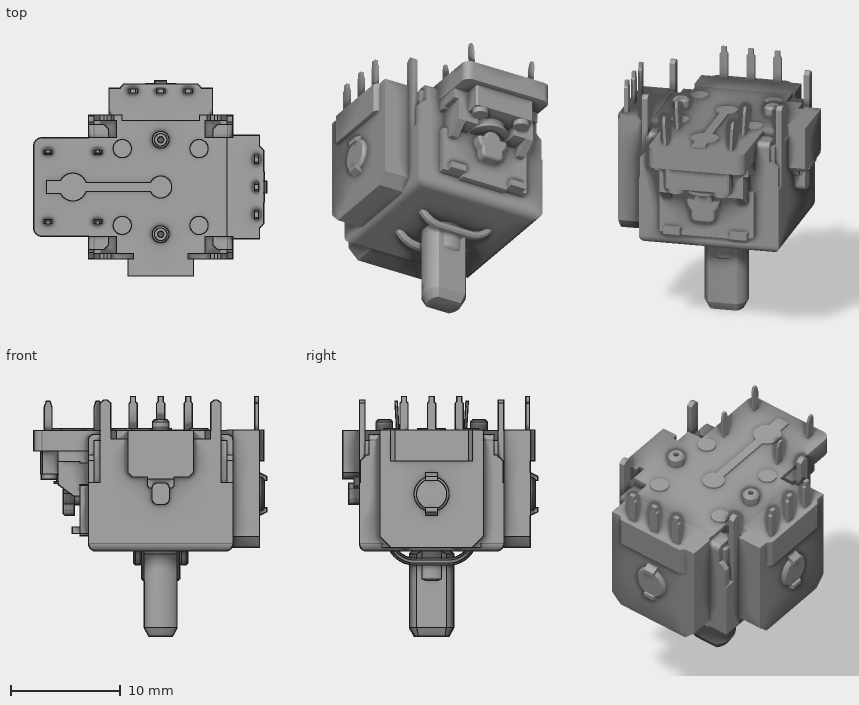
import cadquery as cq
import math


frame_half = 6.58
sheet = 0.52
frame_bottom = -11.0
bottom_edge_radius = 0.7
bend_radius = 0.5
flange_top = -0.37
flange_half_y = 5.68
flange_reach = 1.84
flange_corner = 0.42
side_wall_half_y = 6.5
shoulder_half_y = 5.95
shoulder_top = -2.23
side_wall_corner = -2.75
corner_notch_floor = -4.75
leg_center_x = 5.03
leg_width = 0.96
leg_top = 2.8
leg_tip_run = 0.35
leg_tip_rise = 0.28
between_legs_top = -0.76
core_half = frame_half - sheet
core_top = flange_top - sheet

plate_thickness = 1.88
plate_half_y = 4.5
plate_left = -11.58
plate_corner_radius = 0.79
plate_arm_half_x = 4.05
plate_tab_half_x = 4.24
relief_height = 0.2
pad_spacing = 3.5
pad_radius = 0.83
track_left = -10.4
track_button_x = -8.0
track_button_radius = 1.27
hub_button_radius = 1.0
track_width = 0.79
track_end_width = 1.22
boss_center_y = 4.3
boss_radius = 0.76
boss_height = 0.98
boss_chamfer = 0.2
boss_hole_radius = 0.28

pot_outer = 9.0
pot_half_width = 4.72
pot_neck_half_x = 3.55
pot_top = 0.07
pot_bottom = -10.65
pot_chamfer = 1.0
pot_rib_outer = 9.4
pot_rib_half_width = 3.74
pot_rib_bottom = -2.77
rotor_z = -5.8
rotor_radius = 1.6
rotor_outer = 9.45
rotor_chamfer = 0.22
clip_half_width = 0.55
clip_outer = 9.68
clip_root = 1.95
clip_crest = 1.62
clip_inner = 1.22
pot_pin_center = 8.75
pot_pin_pitch = 2.51
pot_pin_width = 0.76
pot_pin_tip_width = 0.48
pot_pin_thickness = 0.35
pot_pin_step = 2.47
pot_pin_top = 3.1

switch_x = (-10.92, -9.33)
switch_half_y = 3.0
switch_bottom = -3.95
switch_corner_chamfer = 0.15
foot_radius = 0.72
foot_center_x = -10.15
foot_center_y = 2.16
foot_bottom = -4.45
plunger_radius = 1.5
plunger_rim_radius = 1.73
plunger_rim_top = -4.65
plunger_bottom = -4.83
switch_pin_x = (-10.25, -5.72)
switch_pin_base_y = 3.08
switch_pin_lean = 0.15
switch_pin_thickness = 0.25
switch_pin_width = 0.72
switch_pin_tip_width = 0.35
switch_pin_taper_start = 2.12
switch_pin_top = 2.67

bracket_left = switch_x[1]
cover_left = -7.36
bracket_half_y = 3.93
bracket_bottom = -4.94
ledge_half_y = 4.41
ledge_bottom = -2.82
cover_ledge_bottom = -2.97
plunger_gap_half_y = 1.92
cheek_inner_y = 3.2
cheek_foot_x = -7.9
cheek_bottom = -5.99
cover_top = -5.03
cover_bottom = -9.4
cover_lip_bottom = -9.6
cover_lip_half_y = 2.35
cover_tab_left = -8.06
cover_tab_top = -8.78

lever_left = -8.9
lever_right = -7.87
lever_shoulder = -5.72
lever_head_radius = 0.85
lever_wing_half = 1.5
lever_wing_bulge = 0.13
lever_waist = -6.7
lever_foot_half = 1.1
lever_bottom = -7.73
lever_foot_radius = 0.48
lever_edge_radius = 0.26
lever_pin_radius = 0.4
lever_pin_z = -6.38

guide_half_x = 3.0
guide_neck_half_x = 2.47
guide_outer = -8.1
guide_bottom = -4.22
guide_chamfer = 0.4
guide_foot_half_x = 1.22
guide_foot_bottom = -4.41
guide_tongue_outer = -7.08
guide_tongue_bottom = -5.22
guide_tongue_chamfer = 0.17
pivot_outer = -7.55
pivot_half_width = 0.79
pivot_top = -4.76
pivot_bottom = -6.73
pivot_corner_radius = 0.5

shaft_radius = 2.03
shaft_half_flat = 1.5
shaft_top = -11.25
shaft_bottom = -18.75
tip_chamfer_width = 0.44
tip_chamfer_height = 0.79
collar_radius = 1.75
collar_bottom = -13.68
collar_chamfer = 0.17
rocker_x = (1.73, 2.47)
rocker_flat_half = 1.53
rocker_bottom = -12.25
rocker_outer_radius = 2.65
rocker_thickness = 0.63
rocker_chamfer = 0.17

SIDES = (-1, 1)


def box(x_range, y_range, z_range):
    """Box spanning three (start, end) ranges."""
    size = [abs(end - start) for start, end in (x_range, y_range, z_range)]
    corner = [min(span) for span in (x_range, y_range, z_range)]
    return cq.Workplane("XY").box(*size, centered=False).translate(tuple(corner))


def cylinder(x, y, radius, bottom, top):
    """Vertical cylinder between two heights."""
    return cq.Workplane("XY", origin=(x, y, bottom)).circle(radius).extrude(top - bottom)


def extrude_along_x(points, start, end):
    """Prism of a closed (y, z) outline between two X positions."""
    return cq.Workplane("YZ", origin=(start, 0, 0)).polyline(points).close().extrude(end - start)


def extrude_along_y(points, start, end):
    """Prism of a closed (x, z) outline between two Y positions."""
    return cq.Workplane("XZ", origin=(0, start, 0)).polyline(points).close().extrude(start - end)


def mirrored(points):
    """Close a right-hand half outline with its mirror image."""
    return points + [(-a, b) for a, b in reversed(points)]


def make_frame():
    """Folded sheet cup with four legs, and the core that fills it."""
    body = box((-frame_half, frame_half), (-frame_half, frame_half), (frame_bottom, corner_notch_floor))
    body = body.faces("<Z").edges().fillet(bottom_edge_radius)
    body = body.union(box((-core_half, core_half), (-core_half, core_half), (corner_notch_floor, core_top)))

    leg_outer = leg_center_x + leg_width / 2
    leg_inner = leg_center_x - leg_width / 2
    leg_wall = mirrored([
        (leg_outer, corner_notch_floor),
        (leg_outer, leg_top - leg_tip_rise),
        (leg_outer - leg_tip_run, leg_top),
        (leg_inner + leg_tip_run, leg_top),
        (leg_inner, leg_top - leg_tip_rise),
        (leg_inner, between_legs_top),
    ])
    flange_wall = mirrored([
        (side_wall_half_y, corner_notch_floor),
        (side_wall_half_y, side_wall_corner),
        (shoulder_half_y, shoulder_top),
        (flange_half_y, shoulder_top),
        (flange_half_y, flange_top - bend_radius),
    ])
    flange_inner = frame_half - flange_reach
    for side in SIDES:
        inner, outer = side * core_half, side * frame_half
        body = body.union(extrude_along_y(leg_wall, inner, outer))
        body = body.union(extrude_along_x(flange_wall, inner, outer))
        flange = box((side * flange_inner, outer), (-flange_half_y, flange_half_y), (core_top, flange_top))
        inner_face = "<X" if side > 0 else ">X"
        outer_face = ">X" if side > 0 else "<X"
        flange = flange.faces(inner_face).edges("|Z").chamfer(flange_corner)
        flange = flange.faces(outer_face).edges(">Z").fillet(bend_radius)
        body = body.union(flange)
    return body


def make_plate():
    """Carrier plate with its raised track, pads and two hollow bosses."""
    overhang = box((plate_left, core_half), (-plate_half_y, plate_half_y), (-plate_thickness, 0))
    overhang = overhang.faces("<X").edges("|Z").fillet(plate_corner_radius)
    arm_x = (-plate_arm_half_x, plate_arm_half_x)
    plate = overhang.union(box(arm_x, (-core_half, core_half), (-plate_thickness, 0)))
    tab_x = (-plate_tab_half_x, plate_tab_half_x)
    plate = plate.union(box(tab_x, (core_half, frame_half), (-plate_thickness, 0)))

    half_track = track_width / 2
    half_end = track_end_width / 2
    plate = plate.union(cylinder(track_button_x, 0, track_button_radius, 0, relief_height))
    plate = plate.union(cylinder(0, 0, hub_button_radius, 0, relief_height))
    plate = plate.union(box((track_button_x, 0), (-half_track, half_track), (0, relief_height)))
    plate = plate.union(box((track_left, track_button_x), (-half_end, half_end), (0, relief_height)))
    for side_x in SIDES:
        for side_y in SIDES:
            pad = cylinder(side_x * pad_spacing, side_y * pad_spacing, pad_radius, 0, relief_height)
            plate = plate.union(pad)
    for side in SIDES:
        boss = cylinder(0, side * boss_center_y, boss_radius, 0, boss_height)
        boss = boss.faces(">Z").chamfer(boss_chamfer)
        hole = cylinder(0, side * boss_center_y, boss_hole_radius, 0, boss_height)
        plate = plate.union(boss.cut(hole))
    return plate


def make_pot(neck_half_width):
    """Potentiometer housing on +X with rib, snap-in rotor and three pins."""
    housing = box((frame_half, pot_outer), (-pot_half_width, pot_half_width), (pot_bottom, pot_top))
    housing = housing.faces("<Z").edges("|X").chamfer(pot_chamfer)
    neck = box((core_half, frame_half), (-neck_half_width, neck_half_width), (pot_bottom, pot_top))
    rib = box((frame_half, pot_rib_outer), (-pot_rib_half_width, pot_rib_half_width), (pot_rib_bottom, pot_top))
    rib = rib.faces(">X").edges("|Z").chamfer(pot_rib_outer - pot_outer)
    rotor = cq.Workplane("YZ", origin=(pot_outer, 0, rotor_z)).circle(rotor_radius)
    rotor = rotor.extrude(rotor_outer - pot_outer).faces(">X").chamfer(rotor_chamfer)
    pot = housing.union(neck).union(rib).union(rotor)

    for side in SIDES:
        clip = [
            (pot_outer, rotor_z + side * clip_root),
            (clip_outer, rotor_z + side * clip_crest),
            (clip_outer, rotor_z + side * clip_inner),
            (pot_outer, rotor_z + side * clip_inner),
        ]
        pot = pot.union(extrude_along_y(clip, -clip_half_width, clip_half_width))

    half_width = pot_pin_width / 2
    half_tip = pot_pin_tip_width / 2
    pin_outline = mirrored([
        (half_width, 0),
        (half_width, pot_pin_step),
        (half_tip, pot_pin_step + half_width - half_tip),
        (half_tip, pot_pin_top),
    ])
    half_thickness = pot_pin_thickness / 2
    pin = extrude_along_x(pin_outline, pot_pin_center - half_thickness, pot_pin_center + half_thickness)
    for index in (-1, 0, 1):
        pot = pot.union(pin.translate((0, index * pot_pin_pitch, 0)))
    return pot


def make_switch():
    """Push switch below the overhang and its four leaning pins."""
    switch = box(switch_x, (-switch_half_y, switch_half_y), (switch_bottom, -plate_thickness))
    switch = switch.faces("<X").edges("|Z").chamfer(switch_corner_chamfer)
    for side in SIDES:
        foot = cylinder(foot_center_x, side * foot_center_y, foot_radius, foot_bottom, switch_bottom)
        switch = switch.union(foot)
    switch = switch.union(cylinder(track_button_x, 0, plunger_radius, plunger_bottom, -plate_thickness))
    switch = switch.union(cylinder(track_button_x, 0, plunger_rim_radius, plunger_bottom, plunger_rim_top))

    half_width = switch_pin_width / 2
    half_tip = switch_pin_tip_width / 2
    blade_outline = mirrored([
        (half_width, 0),
        (half_width, switch_pin_taper_start),
        (half_tip, switch_pin_top),
    ])
    half_thickness = switch_pin_thickness / 2
    blade = extrude_along_y(blade_outline, 0, switch_pin_base_y + switch_pin_top)
    for side in SIDES:
        base_y = side * switch_pin_base_y
        tip_y = base_y + side * switch_pin_lean
        lean = extrude_along_x([
            (base_y - half_thickness, 0),
            (base_y + half_thickness, 0),
            (tip_y + half_thickness, switch_pin_top),
            (tip_y - half_thickness, switch_pin_top),
        ], -half_width, half_width)
        side_blade = blade if side > 0 else blade.mirror("XZ")
        pin = side_blade.intersect(lean)
        for x in switch_pin_x:
            switch = switch.union(pin.translate((x, 0, 0)))
    return switch


def make_bracket():
    """Bracket that carries the switch, and the cover below it."""
    wall_x = -core_half
    bracket = box((bracket_left, wall_x), (-bracket_half_y, bracket_half_y), (bracket_bottom, -plate_thickness))
    gap_y = (-plunger_gap_half_y, plunger_gap_half_y)
    bracket = bracket.cut(box((bracket_left, cover_left), gap_y, (bracket_bottom, switch_bottom)))
    ledge_y = (-ledge_half_y, ledge_half_y)
    bracket = bracket.union(box((bracket_left, cover_left), ledge_y, (ledge_bottom, -plate_thickness)))
    bracket = bracket.union(box((cover_left, wall_x), ledge_y, (cover_ledge_bottom, -plate_thickness)))

    bracket = bracket.union(box((cover_left, wall_x), ledge_y, (cover_bottom, cover_top)))
    lip_y = (-cover_lip_half_y, cover_lip_half_y)
    bracket = bracket.union(box((cover_left, wall_x), lip_y, (cover_lip_bottom, bracket_bottom)))
    cheek = [
        (bracket_left, bracket_bottom),
        (cheek_foot_x, cheek_bottom),
        (cover_left, cheek_bottom),
        (cover_left, bracket_bottom),
    ]
    for side in SIDES:
        bracket = bracket.union(extrude_along_y(cheek, side * cheek_inner_y, side * bracket_half_y))
        tab_y = (side * cover_lip_half_y, side * bracket_half_y)
        bracket = bracket.union(box((cover_tab_left, cover_left), tab_y, (cover_bottom, cover_tab_top)))
    return bracket


def make_lever():
    """Push lever in front of the cover, held by a short round pin."""
    thickness = lever_right - lever_left
    wing_mid_y = lever_wing_bulge + (lever_wing_half + lever_foot_half) / 2
    wing_mid_z = (lever_shoulder + lever_waist) / 2
    body = (
        cq.Workplane("YZ", origin=(lever_left, 0, 0))
        .moveTo(-lever_wing_half, lever_shoulder)
        .lineTo(lever_wing_half, lever_shoulder)
        .threePointArc((wing_mid_y, wing_mid_z), (lever_foot_half, lever_waist))
        .lineTo(lever_foot_half, lever_bottom)
        .lineTo(-lever_foot_half, lever_bottom)
        .lineTo(-lever_foot_half, lever_waist)
        .threePointArc((-wing_mid_y, wing_mid_z), (-lever_wing_half, lever_shoulder))
        .close()
        .extrude(thickness)
    )
    body = body.faces("<Z").edges("|X").fillet(lever_foot_radius)
    body = body.faces("<X").edges("not >Z").fillet(lever_edge_radius)
    head = cq.Workplane("YZ", origin=(lever_left, 0, lever_shoulder)).circle(lever_head_radius)
    head = head.extrude(thickness).faces("<X").edges().fillet(lever_edge_radius)
    lever = body.union(head)
    pin = cq.Workplane("YZ", origin=(lever_right, 0, lever_pin_z)).circle(lever_pin_radius)
    return lever.union(pin.extrude(cover_left - lever_right))


def make_guide():
    """Guide block on the -Y wall with its tongue and the pivot pin below."""
    guide = box((-guide_half_x, guide_half_x), (guide_outer, -frame_half), (guide_bottom, 0))
    guide = guide.faces("<Z").edges("|Y").chamfer(guide_chamfer)
    neck_x = (-guide_neck_half_x, guide_neck_half_x)
    guide = guide.union(box(neck_x, (-frame_half, -core_half), (between_legs_top, 0)))
    foot_x = (-guide_foot_half_x, guide_foot_half_x)
    guide = guide.union(box(foot_x, (guide_outer, -frame_half), (guide_foot_bottom, guide_bottom)))
    tongue = box(foot_x, (guide_tongue_outer, -frame_half), (guide_tongue_bottom, guide_bottom))
    guide = guide.union(tongue.faces("<Z").edges("|Y").chamfer(guide_tongue_chamfer))

    pivot = box((-pivot_half_width, pivot_half_width), (pivot_outer, -frame_half), (pivot_bottom, pivot_top))
    pivot = pivot.edges("|Y").fillet(pivot_corner_radius)
    return guide.union(pivot)


def make_bow():
    """Rocker bow on +X: a flat-bottomed band curving up into the frame at both ends."""
    arc_center_z = rocker_bottom + rocker_outer_radius

    def half_stadium(radius):
        half_span = rocker_flat_half + radius
        low = arc_center_z - radius
        corner = radius * math.sqrt(0.5)
        return (
            cq.Workplane("YZ", origin=(rocker_x[0], 0, 0))
            .moveTo(-half_span, arc_center_z)
            .threePointArc((-rocker_flat_half - corner, arc_center_z - corner), (-rocker_flat_half, low))
            .lineTo(rocker_flat_half, low)
            .threePointArc((rocker_flat_half + corner, arc_center_z - corner), (half_span, arc_center_z))
            .close()
            .extrude(rocker_x[1] - rocker_x[0])
        )

    band = half_stadium(rocker_outer_radius).cut(half_stadium(rocker_outer_radius - rocker_thickness))
    return band.faces("<X or >X").chamfer(rocker_chamfer)


def make_shaft():
    """Double-flatted shaft with a tapered tip, a slimmer round collar and two rocker bows."""
    shaft = cylinder(0, 0, shaft_radius, shaft_bottom, frame_bottom)
    shaft = shaft.faces(">Z").chamfer(frame_bottom - shaft_top)
    shaft = shaft.faces("<Z").chamfer(tip_chamfer_height, tip_chamfer_width)
    flats_outline = mirrored([
        (shaft_half_flat - tip_chamfer_width, shaft_bottom),
        (shaft_half_flat, shaft_bottom + tip_chamfer_height),
        (shaft_half_flat, frame_bottom),
    ])
    shaft = shaft.intersect(extrude_along_y(flats_outline, -shaft_radius, shaft_radius))
    collar = cylinder(0, 0, collar_radius, collar_bottom, frame_bottom)
    shaft = shaft.union(collar.faces("<Z").chamfer(collar_chamfer))

    bow = make_bow()
    for side in SIDES:
        shaft = shaft.union(bow if side > 0 else bow.mirror("YZ"))
    return shaft


result = make_frame()
pot_x = make_pot(plate_half_y)
pot_y = make_pot(pot_neck_half_x).rotate((0, 0, 0), (0, 0, 1), 90)
for piece in (
    make_plate(),
    pot_x,
    pot_y,
    make_switch(),
    make_bracket(),
    make_lever(),
    make_guide(),
    make_shaft(),
):
    result = result.union(piece)